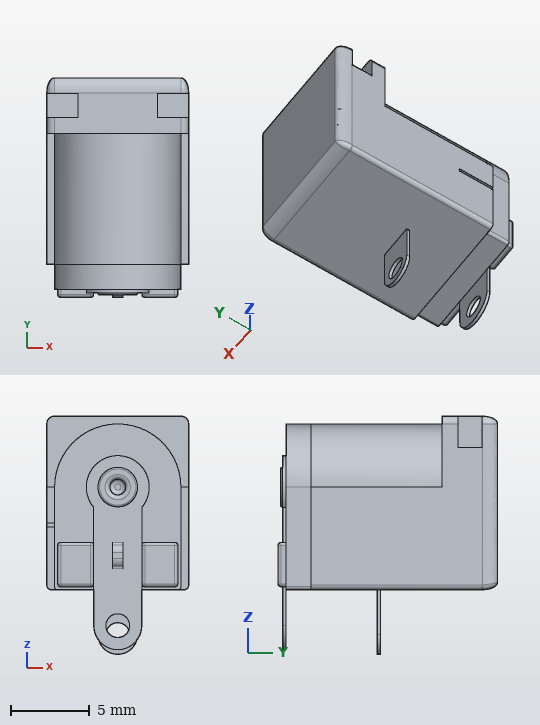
import cadquery as cq
import math


shell_width = 9.0
shell_top = shell_width / 2
shell_bottom = -6.51
barrel_radius = 4.0
shell_front = 13.4
plug_length = 1.59
collar_length = 3.5
collar_corner_radius = 0.5
base_corner_radius = 0.3
rim_length = 1.0
rim_round = 0.48
rim_stretch = 2.0
notch_width = 2.0
notch_depth = 2.0
notch_length = 1.5
slit_length = 2.57
slit_height = 0.23
slit_z = -2.4

plug_corner_radius = 0.2
pad_width = 2.28
pad_height = 2.82
pad_thickness = 0.51
pad_round = 0.2
pad_center_z = -4.9

sheet = 0.23
solder_hole_diameter = 1.5
rear_tab_width = 3.05
pad_center_x = (rear_tab_width + pad_width) / 2
rear_eye_diameter = 3.99
rear_hole_z = -8.77
bump_width = 0.63
bump_center_z = -4.33
bump_flat = 0.41
bump_crest_radius = 0.6
bump_root_radius = 0.2
bump_height = pad_thickness - sheet
shell_tab_width = 2.5
shell_hole_z = -9.35
shell_tab_y = 5.87

head_diameter = 2.5
head_thickness = 0.12
head_round = 0.1
shank_diameter = 2.0
dish_bore_radius = 0.5
dish_depth = 0.8
dish_round = 0.3

overlap = 0.15


def along_y(y_start, x=0, z=0):
    """Sketch plane facing the rear (-Y) with local x = X and local y = Z."""
    return cq.Workplane("XZ", origin=(x, y_start, z))


def box(x_range, y_range, z_range):
    corner = (x_range[0], y_range[0], z_range[0])
    size = [high - low for low, high in (x_range, y_range, z_range)]
    return cq.Workplane("XY").box(*size, centered=False).translate(corner)


def arch(y_start, length):
    """Barrel profile: round top on straight sides, extruded toward -Y."""
    return (
        along_y(y_start)
        .moveTo(-barrel_radius, shell_bottom)
        .lineTo(-barrel_radius, 0)
        .threePointArc((0, barrel_radius), (barrel_radius, 0))
        .lineTo(barrel_radius, shell_bottom)
        .close()
        .extrude(length)
    )


def collar_block(y_range):
    """Full-height block with rounded corners along Y."""
    half_width = shell_width / 2
    block = box((-half_width, half_width), y_range, (shell_bottom, shell_top))
    block = block.edges("|Y and >Z").fillet(collar_corner_radius)
    return block.edges("|Y and <Z").fillet(base_corner_radius)


def front_rim():
    """Front end block: rounded circularly, then stretched along Y to make the round elliptical."""
    block = collar_block((0, rim_length / rim_stretch)).faces(">Y").edges().fillet(rim_round)
    rim_start = shell_front - rim_length
    stretch = cq.Matrix([[1, 0, 0, 0], [0, rim_stretch, 0, rim_start], [0, 0, 1, 0]])
    return cq.Workplane(block.val().transformGeometry(stretch))


def make_shell():
    half_width = shell_width / 2
    rim_start = shell_front - rim_length
    collar_start = shell_front - collar_length
    shell = collar_block((plug_length, rim_start))

    shoulder = box((-shell_width, shell_width), (0, collar_start), (0, 2 * shell_top))
    shell = shell.cut(shoulder).union(arch(collar_start, collar_start - plug_length))

    for side in (-1, 1):
        inner, outer = side * (half_width - notch_width), side * (half_width + overlap)
        notch = box(
            (min(inner, outer), max(inner, outer)),
            (rim_start - notch_length, rim_start),
            (shell_top - notch_depth, shell_top + overlap),
        )
        shell = shell.cut(notch)

    slit = box(
        (-half_width - overlap, -barrel_radius),
        (plug_length - overlap, plug_length + slit_length),
        (slit_z - slit_height / 2, slit_z + slit_height / 2),
    )
    return shell.cut(slit).union(front_rim())


def make_plug():
    plug = arch(plug_length, plug_length).edges("|Y and <Z").fillet(plug_corner_radius)
    for side in (-1, 1):
        pad = along_y(0, side * pad_center_x, pad_center_z).rect(pad_width, pad_height).extrude(pad_thickness)
        pad = pad.edges("|Y or <Y").fillet(pad_round)
        plug = plug.union(pad)
    shank_hole = along_y(plug_length).circle(shank_diameter / 2).extrude(plug_length)
    return plug.cut(shank_hole)


def bump():
    """Embossed rib: flat crest blended into the sheet by a crest arc and a root arc at each end."""
    bend = math.acos(1 - bump_height / (bump_crest_radius + bump_root_radius))
    crest_y = -sheet - bump_height
    flat_z = bump_flat / 2

    def crest_point(angle):
        rise = bump_crest_radius * (1 - math.cos(angle))
        return crest_y + rise, flat_z + bump_crest_radius * math.sin(angle)

    end_z = flat_z + (bump_crest_radius + bump_root_radius) * math.sin(bend)

    def root_point(angle):
        return -sheet - bump_root_radius * (1 - math.cos(angle)), end_z - bump_root_radius * math.sin(angle)

    def mirrored(point):
        return point[0], -point[1]

    return (
        cq.Workplane("YZ", origin=(-bump_width / 2, 0, bump_center_z))
        .moveTo(crest_y, -flat_z)
        .lineTo(crest_y, flat_z)
        .threePointArc(crest_point(bend / 2), crest_point(bend))
        .threePointArc(root_point(bend / 2), root_point(0))
        .lineTo(*mirrored(root_point(0)))
        .threePointArc(mirrored(root_point(bend / 2)), mirrored(crest_point(bend)))
        .threePointArc(mirrored(crest_point(bend / 2)), (crest_y, -flat_z))
        .close()
        .extrude(bump_width)
    )


def solder_tab(y_start, width, top_z, hole_z):
    """Flat strip hanging down from top_z, with a round end and a solder hole."""
    length = top_z - hole_z
    strip = along_y(y_start, z=hole_z + length / 2).rect(width, length).extrude(sheet)
    end = along_y(y_start, z=hole_z).circle(width / 2).extrude(sheet)
    hole = along_y(y_start, z=hole_z).circle(solder_hole_diameter / 2).extrude(sheet)
    return strip.union(end).cut(hole)


def make_rear_terminal():
    eye = along_y(0).circle(rear_eye_diameter / 2).extrude(sheet)
    shank_hole = along_y(0).circle(shank_diameter / 2).extrude(sheet)
    tab = solder_tab(0, rear_tab_width, 0, rear_hole_z)
    return tab.union(eye).cut(shank_hole).union(bump())


def make_shell_terminal():
    return solder_tab(shell_tab_y + sheet / 2, shell_tab_width, shell_bottom, shell_hole_z)


def make_rivet():
    """Shank with a rounded head and a dished end."""
    shank = along_y(plug_length).circle(shank_diameter / 2).extrude(plug_length + sheet)
    head = along_y(-sheet).circle(head_diameter / 2).extrude(head_thickness)
    head = head.faces("<Y").edges().fillet(head_round)

    face_y = -sheet - head_thickness
    bore_y = face_y + dish_round
    floor_y = face_y + dish_depth
    floor_round_y = floor_y - dish_round
    floor_radius = dish_bore_radius - dish_round
    mouth_radius = dish_bore_radius + dish_round
    mid_arc = dish_round * math.sqrt(0.5)
    dish = (
        cq.Workplane("XY")
        .moveTo(0, face_y)
        .lineTo(mouth_radius, face_y)
        .threePointArc((mouth_radius - mid_arc, bore_y - mid_arc), (dish_bore_radius, bore_y))
        .lineTo(dish_bore_radius, floor_round_y)
        .threePointArc((floor_radius + mid_arc, floor_round_y + mid_arc), (floor_radius, floor_y))
        .lineTo(0, floor_y)
        .close()
        .revolve(360, (0, 0), (0, 1))
    )
    return shank.union(head).cut(dish)


shell = make_shell()
plug = make_plug()
rivet = make_rivet()
rear_terminal = make_rear_terminal()
shell_terminal = make_shell_terminal()

bodies = [shell, plug, rivet, rear_terminal, shell_terminal]
result = cq.Compound.makeCompound([body.solids().val() for body in bodies])